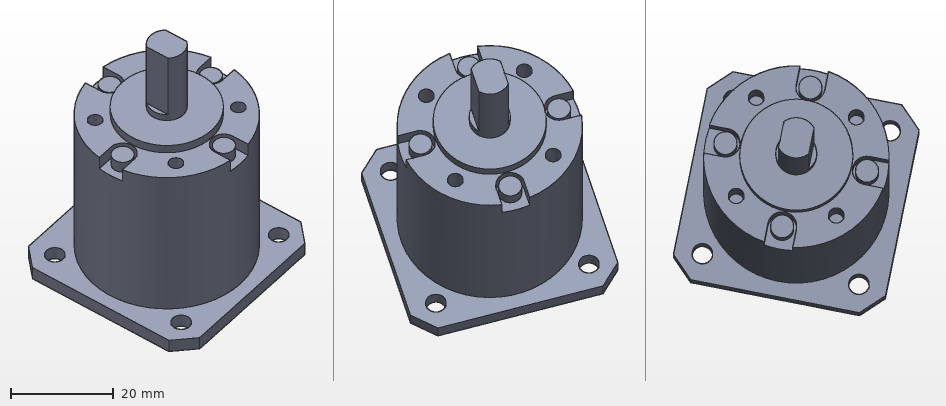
import cadquery as cq
import math

overall_height = 57.0

flange_width = 42.0
flange_thickness = 3.0
flange_corner_cut = 4.3
flange_hole_diameter = 4.0
flange_hole_spacing = 31.0

body_diameter = 36.0
body_top = 38.3
pilot_diameter = 22.0
pilot_height = 1.95
pilot_top = body_top + pilot_height

top_pitch_radius = 14.0
slot_width = 5.65
slot_depth = 2.95
slot_floor = body_top - slot_depth
post_diameter = 4.5
post_top_gap = 0.35
top_hole_diameter = 3.0
top_hole_depth = 5.7

shaft_diameter = 8.0
shaft_across_flats = 6.0
flat_length = 15.15

quarter_turns = [0, 90, 180, 270]


def make_slot_cutter(angle):
    """Radial slot, round at its inner end and open at the body's outer wall."""
    inner_end = cq.Workplane("XY").center(top_pitch_radius, 0).circle(slot_width / 2).extrude(slot_depth)
    channel = (
        cq.Workplane("XY")
        .moveTo(top_pitch_radius, -slot_width / 2)
        .lineTo(body_diameter / 2, -slot_width / 2)
        .lineTo(body_diameter / 2, slot_width / 2)
        .lineTo(top_pitch_radius, slot_width / 2)
        .close()
        .extrude(slot_depth)
    )
    cutter = inner_end.union(channel)
    return cutter.translate((0, 0, slot_floor)).rotate((0, 0, 0), (0, 0, 1), angle)


def make_post(angle):
    """Round post standing on a slot floor, just below the body's top face."""
    return (
        cq.Workplane("XY", origin=(0, 0, slot_floor))
        .polarArray(top_pitch_radius, angle, 360, 1)
        .circle(post_diameter / 2)
        .extrude(slot_depth - post_top_gap)
    )


def make_housing():
    flange = (
        cq.Workplane("XY")
        .rect(flange_width, flange_width)
        .extrude(flange_thickness)
        .edges("|Z")
        .chamfer(flange_corner_cut)
        .faces(">Z")
        .workplane()
        .rect(flange_hole_spacing, flange_hole_spacing, forConstruction=True)
        .vertices()
        .hole(flange_hole_diameter)
    )
    body = (
        cq.Workplane("XY", origin=(0, 0, flange_thickness))
        .circle(body_diameter / 2)
        .extrude(body_top - flange_thickness)
    )
    pilot = cq.Workplane("XY", origin=(0, 0, body_top)).circle(pilot_diameter / 2).extrude(pilot_height)
    top_holes = (
        cq.Workplane("XY", origin=(0, 0, body_top))
        .polarArray(top_pitch_radius, 45, 360, len(quarter_turns))
        .circle(top_hole_diameter / 2)
        .extrude(-top_hole_depth)
    )
    housing = flange.union(body).union(pilot).cut(top_holes)
    for angle in quarter_turns:
        housing = housing.cut(make_slot_cutter(angle)).union(make_post(angle))
    return housing


def make_shaft():
    """Shaft standing on the pilot disc, flattened on its -Y and +Y sides."""
    flat_bottom = overall_height - flat_length
    round_base = (
        cq.Workplane("XY", origin=(0, 0, pilot_top))
        .circle(shaft_diameter / 2)
        .extrude(flat_bottom - pilot_top)
    )
    half_flat = shaft_across_flats / 2
    half_chord = math.sqrt((shaft_diameter / 2) ** 2 - half_flat**2)
    flattened_end = (
        cq.Workplane("XY", origin=(0, 0, flat_bottom))
        .moveTo(-half_chord, -half_flat)
        .lineTo(half_chord, -half_flat)
        .threePointArc((shaft_diameter / 2, 0), (half_chord, half_flat))
        .lineTo(-half_chord, half_flat)
        .threePointArc((-shaft_diameter / 2, 0), (-half_chord, -half_flat))
        .close()
        .extrude(flat_length)
    )
    return round_base.union(flattened_end)


housing = make_housing()
shaft = make_shaft()

result = cq.Compound.makeCompound([housing.val(), shaft.val()])